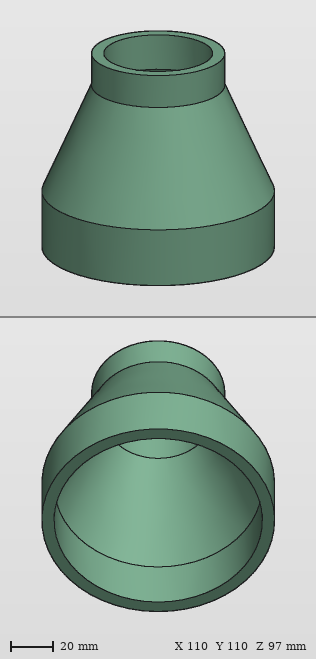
import math

import cadquery as cq

large_diameter = 110.0
small_diameter = 63.0
wall = 5.8

total_height = 97.0
large_length = 28.0
small_length = 16.0

large_radius = large_diameter / 2
small_radius = small_diameter / 2
small_start = total_height - small_length

cone_half_angle = math.atan2(large_radius - small_radius, small_start - large_length)
inner_corner_drop = wall * math.tan(cone_half_angle / 2)


def stepped_cone(bottom_radius, top_radius, cone_start, cone_end):
    """Solid of two coaxial cylinders joined by a cone, over the full height."""
    half_profile = (
        cq.Workplane("XZ")
        .lineTo(bottom_radius, 0)
        .lineTo(bottom_radius, cone_start)
        .lineTo(top_radius, cone_end)
        .lineTo(top_radius, total_height)
        .lineTo(0, total_height)
        .close()
    )
    return half_profile.revolve(360, (0, 0, 0), (0, 1, 0))


body = stepped_cone(large_radius, small_radius, large_length, small_start)
bore = stepped_cone(
    large_radius - wall,
    small_radius - wall,
    large_length - inner_corner_drop,
    small_start - inner_corner_drop,
)

result = body.cut(bore)